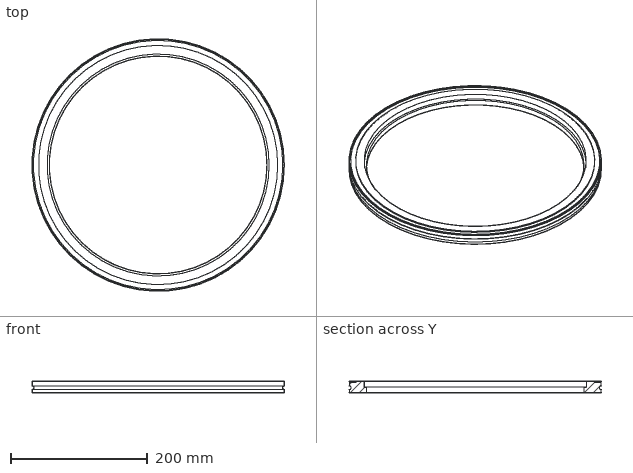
import cadquery as cq

outer_diameter = 369.5
height = 17.0

bore_diameter = 318.3
counterbore_diameter = 325.0
ledge_height = height / 2

recess_inner_diameter = 350.0
recess_outer_diameter = 365.0
recess_depth = 2.0

rim_chamfer = 0.7

groove_radius = 2.5
groove_height = 7.5

outer_radius = outer_diameter / 2
bore_radius = bore_diameter / 2
counterbore_radius = counterbore_diameter / 2
recess_inner_radius = recess_inner_diameter / 2
recess_outer_radius = recess_outer_diameter / 2
recess_floor = height - recess_depth
rim_face_radius = outer_radius - rim_chamfer

section = (
    cq.Workplane("XZ")
    .moveTo(bore_radius, 0)
    .lineTo(rim_face_radius, 0)
    .lineTo(outer_radius, rim_chamfer)
    .lineTo(outer_radius, groove_height - groove_radius)
    .threePointArc(
        (outer_radius - groove_radius, groove_height),
        (outer_radius, groove_height + groove_radius),
    )
    .lineTo(outer_radius, height - rim_chamfer)
    .lineTo(rim_face_radius, height)
    .lineTo(recess_outer_radius, height)
    .lineTo(recess_outer_radius, recess_floor)
    .lineTo(recess_inner_radius, recess_floor)
    .lineTo(recess_inner_radius, height)
    .lineTo(counterbore_radius, height)
    .lineTo(counterbore_radius, ledge_height)
    .lineTo(bore_radius, ledge_height)
    .close()
)

result = section.revolve(360, (0, 0, 0), (0, 1, 0))